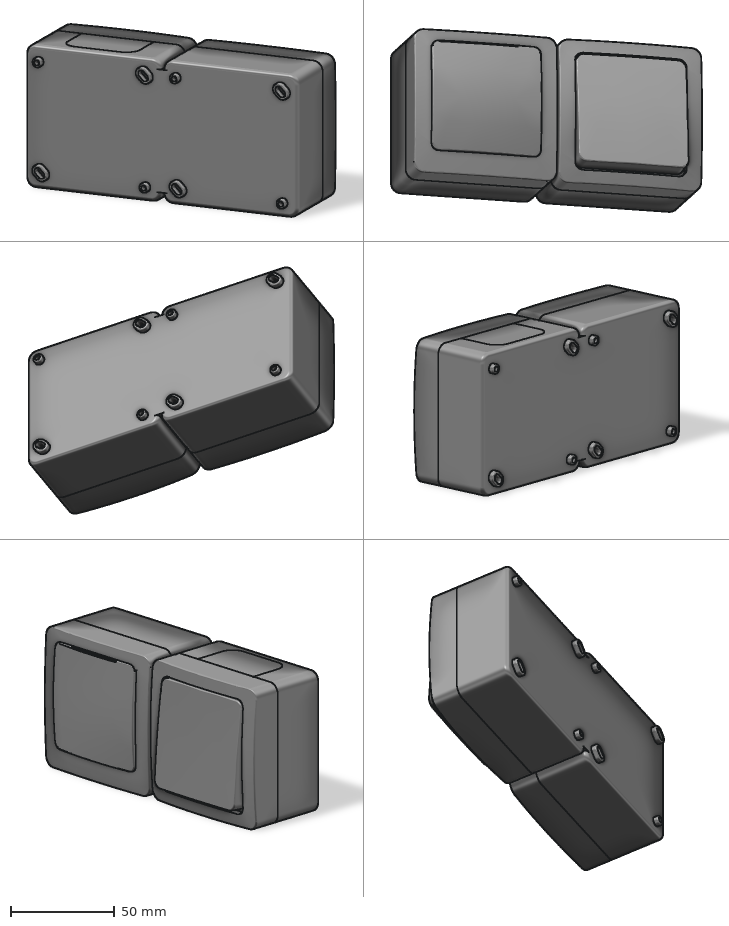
import cadquery as cq
import math

TOTAL_WIDTH = 145.0
BOX_GAP = 1.0
BOX_SIZE = (TOTAL_WIDTH - BOX_GAP) / 2
CORNER_RADIUS = 5.1
SPLIT_Y = 28.9
BACK_FILLET = 2.0
HALF_BOX = BOX_SIZE / 2
SWITCH_X = HALF_BOX
SOCKET_X = TOTAL_WIDTH - HALF_BOX
FLAT_HEIGHT = BOX_SIZE - 2 * CORNER_RADIUS

SWITCH_COVER_PEAK = 46.8
SWITCH_COVER_DOME = 340.8
SOCKET_COVER_PEAK = 46.3
SOCKET_COVER_DOME = 543.8
COVER_FILLET = 0.9

FOOT_HEIGHT = 2.6
FOOT_HOLE_DEPTH = 4.4
FOOT_RIM_FILLET = 0.6
ROUND_FOOT_DIAMETER = 5.0
ROUND_HOLE_DIAMETER = 2.6
ROUND_FEET = [(-29.0, 27.8), (27.8, -28.9)]
LONG_FOOT_WIDTH = 6.4
LONG_FOOT_WALL = 1.5
LONG_FOOT_LENGTH = 9.0
LONG_FOOT_OFFSET = 27.5
LONG_FOOT_ANGLE = -45.0

ENTRY_WIDTH = 38.4
ENTRY_BACK_Y = 5.0
ENTRY_CORNER = 7.2
ENTRY_THICKNESS = 2.9

ROCKER_SIZE = 55.4
ROCKER_CORNER = 3.9
ROCKER_PEAK = 49.2
ROCKER_DOME = 580.0
ROCKER_TILT = 5.4
ROCKER_LIFT = 1.3
ROCKER_FILLET = 0.9
ROCKER_GAP = 0.5
ROCKER_FLOOR_Y = 40.6

LID_SIZE = 55.1
LID_CORNER = 3.8
LID_TOP_Z = 30.3
LID_Z = LID_TOP_Z - LID_SIZE / 2
LID_PEAK = 49.0
LID_DOME = 246.5
LID_FILLET = 0.9
LID_FLOOR_Y = 44.1
LIP_START_Z = 27.5
LIP_BACK_Y = 45.7
NOTCH_WIDTH = 30.2
NOTCH_DEPTH = 0.7
NOTCH_BACK_Y = 46.4


def prism(width, height, corner, y_start, y_end, x=0.0, z=0.0):
    """Block along Y with rounded corners in the XZ plane, centred on (x, z)."""
    block = cq.Workplane("XY").box(width, y_end - y_start, height)
    return block.edges("|Y").fillet(corner).translate((x, (y_start + y_end) / 2, z))


def dome(radius, peak, x=0.0, z=0.0):
    """Ball whose frontmost point is at y = peak."""
    return cq.Workplane("XY").sphere(radius).translate((x, peak - radius, z))


def back_plane(x, z):
    """Workplane on the back of the boxes, facing -Y."""
    return cq.Workplane("XZ", origin=(x, 0, z))



def base_box(x):
    box = prism(BOX_SIZE, BOX_SIZE, CORNER_RADIUS, 0, SPLIT_Y, x)
    return box.faces("<Y").edges().fillet(BACK_FILLET)


def bridge():
    width = BOX_GAP + 2 * BACK_FILLET
    return cq.Workplane("XY").box(width, SPLIT_Y, FLAT_HEIGHT).translate((TOTAL_WIDTH / 2, SPLIT_Y / 2, 0))


def foot(outline):
    return outline.extrude(FOOT_HEIGHT).faces("<Y").edges().fillet(FOOT_RIM_FILLET)


def foot_hole(outline):
    return outline.extrude(FOOT_HOLE_DEPTH).translate((0, FOOT_HOLE_DEPTH - FOOT_HEIGHT, 0))


def add_round_foot(base, x, z):
    plane = back_plane(x, z)
    with_foot = base.union(foot(plane.circle(ROUND_FOOT_DIAMETER / 2)))
    return with_foot.cut(foot_hole(plane.circle(ROUND_HOLE_DIAMETER / 2)))


def add_long_foot(base, x, z):
    plane = back_plane(x, z)
    hole_length = LONG_FOOT_LENGTH - 2 * LONG_FOOT_WALL
    hole_width = LONG_FOOT_WIDTH - 2 * LONG_FOOT_WALL
    with_foot = base.union(foot(plane.slot2D(LONG_FOOT_LENGTH, LONG_FOOT_WIDTH, LONG_FOOT_ANGLE)))
    return with_foot.cut(foot_hole(plane.slot2D(hole_length, hole_width, LONG_FOOT_ANGLE)))


def make_base():
    base = base_box(SWITCH_X).union(base_box(SOCKET_X)).union(bridge())
    for box_x in (SWITCH_X, SOCKET_X):
        for x, z in ROUND_FEET:
            base = add_round_foot(base, box_x + x, z)
        for offset in (-LONG_FOOT_OFFSET, LONG_FOOT_OFFSET):
            base = add_long_foot(base, box_x + offset, offset)
    return base.cut(make_entry_plate())



def make_entry_plate():
    length = SPLIT_Y - ENTRY_BACK_Y
    plate = cq.Workplane("XY").box(ENTRY_WIDTH, length, ENTRY_THICKNESS)
    plate = plate.edges("|Z and <Y").fillet(ENTRY_CORNER)
    return plate.translate((SWITCH_X, ENTRY_BACK_Y + length / 2, HALF_BOX - ENTRY_THICKNESS / 2))



def cover_blank(x, peak, dome_radius):
    blank = prism(BOX_SIZE, BOX_SIZE, CORNER_RADIUS, SPLIT_Y, peak, x)
    blank = blank.intersect(dome(dome_radius, peak, x))
    return blank.faces(">Y").edges().fillet(COVER_FILLET)


def make_switch_cover():
    opening_size = ROCKER_SIZE + 2 * ROCKER_GAP
    opening = prism(
        opening_size, opening_size + 2 * ROCKER_LIFT, ROCKER_CORNER + ROCKER_GAP,
        ROCKER_FLOOR_Y, SWITCH_COVER_PEAK, SWITCH_X,
    )
    return cover_blank(SWITCH_X, SWITCH_COVER_PEAK, SWITCH_COVER_DOME).cut(opening)


def make_socket_cover():
    return cover_blank(SOCKET_X, SOCKET_COVER_PEAK, SOCKET_COVER_DOME).cut(make_lid())



def make_rocker():
    block_back = ROCKER_FLOOR_Y - ROCKER_SIZE / 2 * math.sin(math.radians(ROCKER_TILT))
    block = prism(ROCKER_SIZE, ROCKER_SIZE, ROCKER_CORNER, block_back, ROCKER_PEAK)
    block = block.intersect(dome(ROCKER_DOME, ROCKER_PEAK))
    block = block.faces(">Y").edges().fillet(ROCKER_FILLET)
    block = block.rotate((0, ROCKER_PEAK, 0), (1, ROCKER_PEAK, 0), ROCKER_TILT)
    block = block.translate((SWITCH_X, 0, ROCKER_LIFT))
    below_floor = cq.Workplane("XY").box(BOX_SIZE, ROCKER_FLOOR_Y, BOX_SIZE)
    return block.cut(below_floor.translate((SWITCH_X, ROCKER_FLOOR_Y / 2, 0)))



def make_lid():
    lid = prism(LID_SIZE, LID_SIZE, LID_CORNER, LID_FLOOR_Y, LID_PEAK, SOCKET_X, LID_Z)
    lid = lid.intersect(dome(LID_DOME, LID_PEAK, SOCKET_X, LID_Z))
    lid = lid.faces(">Y").edges().fillet(LID_FILLET)
    under_lip = cq.Workplane("XY").box(
        LID_SIZE, LIP_BACK_Y - LID_FLOOR_Y, LID_TOP_Z - LIP_START_Z, centered=(True, False, False)
    )
    notch = cq.Workplane("XY").box(
        NOTCH_WIDTH, LID_PEAK - NOTCH_BACK_Y, NOTCH_DEPTH, centered=(True, False, False)
    )
    lid = lid.cut(under_lip.translate((SOCKET_X, LID_FLOOR_Y, LIP_START_Z)))
    return lid.cut(notch.translate((SOCKET_X, NOTCH_BACK_Y, LID_TOP_Z - NOTCH_DEPTH)))


base = make_base()
entry_plate = make_entry_plate()
switch_cover = make_switch_cover()
socket_cover = make_socket_cover()
rocker = make_rocker()
lid = make_lid()

result = cq.Compound.makeCompound([
    base.val(),
    entry_plate.val(),
    switch_cover.val(),
    socket_cover.val(),
    rocker.val(),
    lid.val(),
])